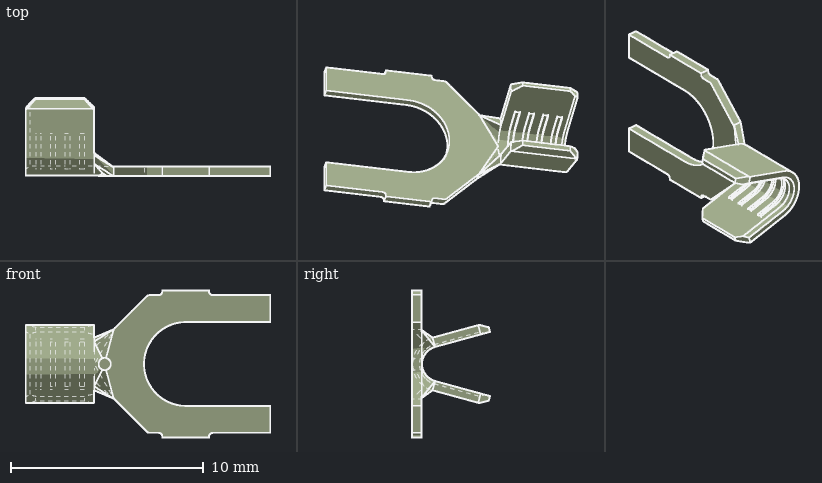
import cadquery as cq
import math


total_length = 12.7
total_depth = 4.06
thickness = 0.51

plate_start = 4.57
plate_start_half_height = 1.8
prong_half_height = 3.58
shoulder_half_height = 3.82
shoulder_start = 7.09
shoulder_end = 9.52
shoulder_fillet = 0.18
fork_corner_fillet = 0.19
slot_radius = 2.17
slot_center = 8.32

barrel_length = 3.55
barrel_front = 0.03
outer_radius = 1.42
inner_radius = outer_radius - thickness
bend_center = barrel_front + outer_radius
arm_angle = math.radians(15.3)
corner_cut = 0.51
tip_chamfer_length = 0.45
tip_chamfer_depth = 0.25
mouth_chamfer_length = 0.2
mouth_chamfer_depth = 0.15

groove_count = 4
groove_pitch = 0.75
groove_width = 0.27
groove_depth = 0.14
groove_reach = 1.09

fan_angle = math.radians(55)
apex_half_height = 0.05
corner_tip = 0.05

pad_center = 4.1
pad_radius = 0.32

inner_tangent_y = bend_center - inner_radius * math.sin(arm_angle)
arm_length = (total_depth - inner_tangent_y) / math.cos(arm_angle)


def arm_point(radius, distance=0):
    """(Y, Z) on the upper arm at a bend radius, a distance past the end of the bend."""
    y = bend_center - radius * math.sin(arm_angle) + distance * math.cos(arm_angle)
    z = radius * math.cos(arm_angle) + distance * math.sin(arm_angle)
    return y, z


def mirrored(point):
    return point[0], -point[1]


def u_section(x, radius, reach):
    """Closed U outline at X = x: a bend of the given radius with arms of the given reach."""
    start = arm_point(radius)
    end = arm_point(radius, reach)
    return (
        cq.Workplane("YZ", origin=(x, 0, 0))
        .moveTo(*end)
        .lineTo(*start)
        .threePointArc((bend_center - radius, 0), mirrored(start))
        .lineTo(*mirrored(end))
        .close()
    )


def make_bend():
    """Curved middle of the barrel."""
    outer = arm_point(outer_radius)
    inner = arm_point(inner_radius)
    section = (
        cq.Workplane("YZ")
        .moveTo(*outer)
        .threePointArc((bend_center - outer_radius, 0), mirrored(outer))
        .lineTo(*mirrored(inner))
        .threePointArc((bend_center - inner_radius, 0), inner)
        .close()
    )
    return section.extrude(barrel_length)


def make_fork():
    slope_end = plate_start + prong_half_height - plate_start_half_height
    half_outline = (
        cq.Workplane("XZ")
        .moveTo(plate_start, 0)
        .lineTo(plate_start, plate_start_half_height)
        .lineTo(slope_end, prong_half_height)
        .lineTo(shoulder_start, prong_half_height)
        .lineTo(shoulder_start, shoulder_half_height)
        .lineTo(shoulder_end, shoulder_half_height)
        .lineTo(shoulder_end, prong_half_height)
        .lineTo(total_length, prong_half_height)
        .lineTo(total_length, 0)
        .close()
    )
    half = half_outline.extrude(-thickness)
    for x in (shoulder_start, shoulder_end):
        corner = cq.selectors.NearestToPointSelector((x, thickness / 2, prong_half_height))
        half = half.edges("|Y").edges(corner).fillet(shoulder_fillet)
    corner = cq.selectors.NearestToPointSelector((slope_end, thickness / 2, prong_half_height))
    half = half.edges("|Y").edges(corner).fillet(fork_corner_fillet)
    slot_end = cq.Workplane("XZ").center(slot_center, 0).circle(slot_radius).extrude(-thickness)
    slot = cq.Workplane("XY").box(
        total_length - slot_center, thickness, 2 * slot_radius, centered=(False, False, True)
    )
    slot = slot.translate((slot_center, 0, 0))
    return half.union(half.mirror("XY")).cut(slot_end).cut(slot)


def make_arm():
    """Upper arm: a flat plate with cut corners and a chamfered outer tip edge."""
    y, z = arm_point(outer_radius)
    outward = (0, -math.sin(arm_angle), math.cos(arm_angle))
    face = cq.Plane(origin=(0, y, z), xDir=(1, 0, 0), normal=outward)
    outline = [
        (0, 0),
        (0, arm_length - corner_cut),
        (corner_cut, arm_length),
        (barrel_length - corner_cut, arm_length),
        (barrel_length, arm_length - corner_cut),
        (barrel_length, 0),
    ]
    arm = cq.Workplane(face).polyline(outline).close().extrude(-thickness)
    wedge = [
        arm_point(outer_radius, arm_length),
        arm_point(outer_radius, arm_length - tip_chamfer_length),
        arm_point(outer_radius - tip_chamfer_depth, arm_length),
    ]
    return arm.cut(cq.Workplane("YZ").polyline(wedge).close().extrude(barrel_length))


def make_mouth_chamfer():
    """Tapered cutter that bevels the inner edge of the barrel's open end."""
    wide = u_section(0, inner_radius + mouth_chamfer_depth, arm_length + thickness)
    narrow = u_section(mouth_chamfer_length, inner_radius, arm_length + thickness)
    return cq.Workplane(cq.Solid.makeLoft([wide.val(), narrow.val()], True))


def make_barrel():
    arm = make_arm()
    barrel = make_bend().union(arm).union(arm.mirror("XY"))
    barrel = barrel.cut(make_mouth_chamfer())
    for i in range(groove_count):
        middle = barrel_length / 2 + (i - (groove_count - 1) / 2) * groove_pitch
        start = middle - groove_width / 2
        groove = u_section(start, inner_radius + groove_depth, groove_reach).extrude(groove_width)
        barrel = barrel.cut(groove)
    return barrel


def bend_point(radius, angle):
    """Point on the bend at the barrel's inner end; the angle runs from the front toward +Z."""
    y = bend_center - radius * math.cos(angle)
    return barrel_length, y, radius * math.sin(angle)


def fork_point(y, side):
    """Point on the fork's short vertical edge; side is +1 at the top and -1 at the bottom."""
    return plate_start, y, side * plate_start_half_height


def line(start, end):
    return cq.Edge.makeLine(cq.Vector(*start), cq.Vector(*end))


def bend_arc(radius, start, end):
    points = [bend_point(radius, angle) for angle in (start, (start + end) / 2, end)]
    return cq.Edge.makeThreePointArc(*[cq.Vector(*point) for point in points])


def flat_face(*points):
    corners = [cq.Vector(*point) for point in points]
    return cq.Face.makeFromWires(cq.Wire.makePolygon(corners, close=True))


def neck_side_faces(side):
    """Curved fans and flat triangles of the neck above (side +1) or below (side -1) the middle."""
    bend_end = side * (math.pi / 2 - arm_angle)
    fan_end = side * fan_angle
    apex = (pad_center, barrel_front, side * apex_half_height)
    front = fork_point(0, side)
    front_tip = fork_point(corner_tip, side)
    back = fork_point(thickness, side)
    back_tip = fork_point(thickness - corner_tip, side)
    outer_end = bend_point(outer_radius, bend_end)
    inner_end = bend_point(inner_radius, bend_end)
    return [
        cq.Face.makeRuledSurface(bend_arc(outer_radius, fan_end, bend_end), line(front, front_tip)),
        cq.Face.makeRuledSurface(bend_arc(inner_radius, 0, bend_end), line(back, back_tip)),
        flat_face(apex, bend_point(outer_radius, fan_end), front),
        flat_face(outer_end, front_tip, back_tip),
        flat_face(outer_end, back_tip, inner_end),
    ]


def make_neck():
    """Transition from the curved bend to the flat edge of the fork, with its round pad."""
    apex_bottom, apex_top = [
        (pad_center, barrel_front, side * apex_half_height) for side in (-1, 1)
    ]
    middle_arc = bend_arc(outer_radius, -fan_angle, fan_angle)
    faces = neck_side_faces(1) + neck_side_faces(-1)
    faces += [
        cq.Face.makeRuledSurface(middle_arc, line(apex_bottom, apex_top)),
        flat_face(apex_bottom, apex_top, fork_point(0, 1), fork_point(0, -1)),
        flat_face(bend_point(inner_radius, 0), fork_point(thickness, 1), fork_point(thickness, -1)),
    ]
    fork_edge_heights = (0, corner_tip, thickness - corner_tip, thickness)
    fork_end = [fork_point(y, 1) for y in fork_edge_heights]
    fork_end += [fork_point(y, -1) for y in reversed(fork_edge_heights)]
    faces.append(flat_face(*fork_end))

    bend_end = math.pi / 2 - arm_angle
    bend_outline = [
        bend_arc(outer_radius, -bend_end, -fan_angle),
        middle_arc,
        bend_arc(outer_radius, fan_angle, bend_end),
        line(bend_point(outer_radius, bend_end), bend_point(inner_radius, bend_end)),
        bend_arc(inner_radius, bend_end, 0),
        bend_arc(inner_radius, 0, -bend_end),
        line(bend_point(inner_radius, -bend_end), bend_point(outer_radius, -bend_end)),
    ]
    faces.append(cq.Face.makeFromWires(cq.Wire.assembleEdges(bend_outline)))

    neck = cq.Workplane(cq.Solid.makeSolid(cq.Shell.makeShell(faces)))
    pad = cq.Workplane("XZ").center(pad_center, 0).circle(pad_radius).extrude(-thickness / 2)
    return neck.union(pad)


result = make_fork().union(make_neck()).union(make_barrel())